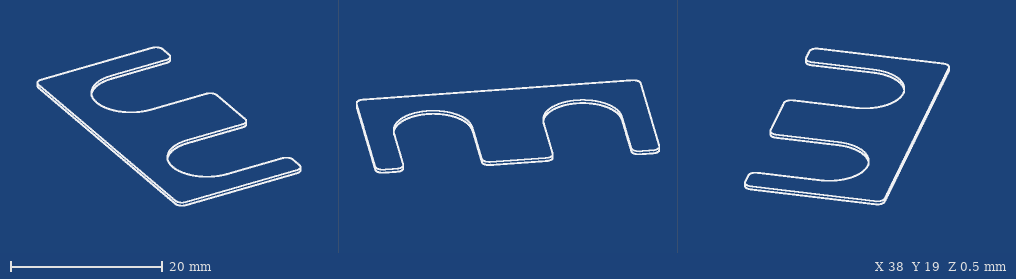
import cadquery as cq

length = 38.0
width = 19.0
thickness = 0.5
corner_radius = 1.0

slot_width = 10.5
slot_spacing = 20.0


def rounded_plate():
    """Slotted plate with its outer corners and finger tips rounded."""
    plate = cq.Workplane("XY").box(length, width, thickness)
    for side in (-1, 1):
        slot_x = side * slot_spacing / 2
        slot = (
            cq.Workplane("XY")
            .moveTo(slot_x - slot_width / 2, width / 2)
            .lineTo(slot_x - slot_width / 2, 0)
            .threePointArc((slot_x, -slot_width / 2), (slot_x + slot_width / 2, 0))
            .lineTo(slot_x + slot_width / 2, width / 2)
            .close()
            .extrude(thickness, both=True)
        )
        plate = plate.cut(slot)
    corners = plate.edges("|Z and (>Y or <Y)")
    return corners.fillet(corner_radius)


result = rounded_plate()